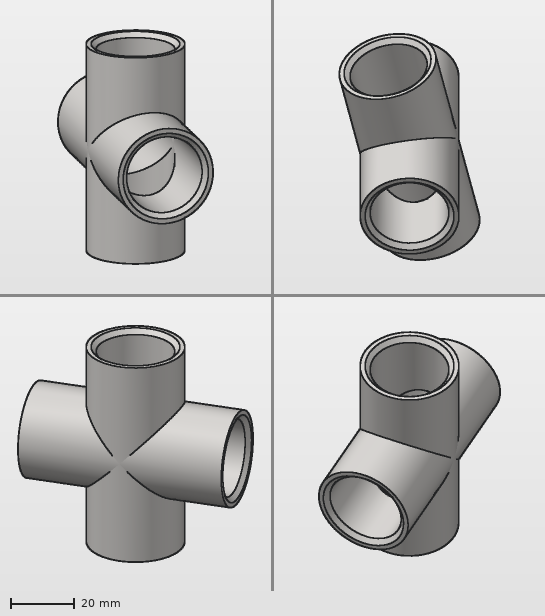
import cadquery as cq

overall_length = 68.2
outer_diameter = 31.4
bore_diameter = 25.0
mouth_diameter = 28.2
mouth_depth = 1.6

half_length = overall_length / 2
outer_radius = outer_diameter / 2
bore_radius = bore_diameter / 2
mouth_radius = mouth_diameter / 2


def pipe_along_z(radius):
    """Solid cylinder of full length, centred on the origin."""
    return cq.Workplane("XY").circle(radius).extrude(half_length, both=True)


def passage_along_z():
    """Through bore that flares out conically at both ends."""
    mouth_start = half_length - mouth_depth
    return (
        cq.Workplane("XZ")
        .moveTo(0, -half_length)
        .lineTo(mouth_radius, -half_length)
        .lineTo(bore_radius, -mouth_start)
        .lineTo(bore_radius, mouth_start)
        .lineTo(mouth_radius, half_length)
        .lineTo(0, half_length)
        .close()
        .revolve(360, (0, 0, 0), (0, 1, 0))
    )


def cross_of(body):
    """Join a body along Z with its copy turned to lie along X."""
    return body.union(body.rotate((0, 0, 0), (0, 1, 0), 90))


result = cross_of(pipe_along_z(outer_radius)).cut(cross_of(passage_along_z()))